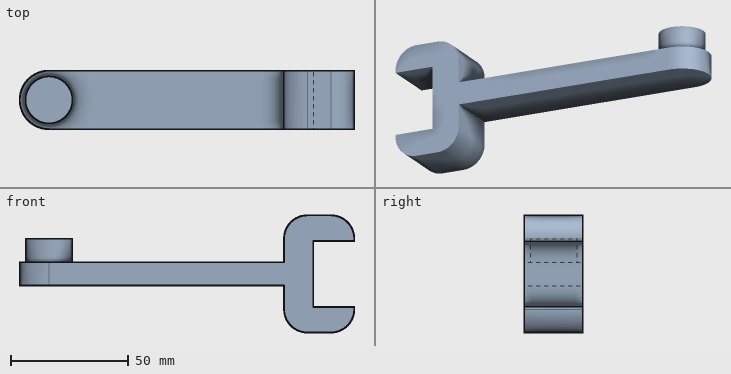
import cadquery as cq

width = 25.0
arm_thickness = 10.0
arm_length = 100.0
pin_diameter = 20.0
pin_height = 10.0
head_length = 30.0
head_height = 50.0
corner_radius = 10.0
slot_height = 28.0
slot_depth = 17.5

end_radius = width / 2
head_front = arm_length + head_length


def make_arm():
    """Flat arm with a full-round end concentric with the pin."""
    bar = cq.Workplane("XY").box(arm_length, width, arm_thickness, centered=(False, True, True))
    round_end = cq.Workplane("XY").circle(end_radius).extrude(arm_thickness / 2, both=True)
    return bar.union(round_end)


def make_pin():
    """Round pin standing on top of the arm."""
    return (
        cq.Workplane("XY")
        .workplane(offset=arm_thickness / 2)
        .circle(pin_diameter / 2)
        .extrude(pin_height)
    )


def make_head():
    """Rounded block with a slot open towards +X, forming two jaws."""
    block = (
        cq.Workplane("XY")
        .box(head_length, width, head_height, centered=(False, True, True))
        .edges("|Y")
        .fillet(corner_radius)
        .translate((arm_length, 0, 0))
    )
    slot = (
        cq.Workplane("XY")
        .box(slot_depth, width, slot_height, centered=(False, True, True))
        .translate((head_front - slot_depth, 0, 0))
    )
    return block.cut(slot)


result = make_arm().union(make_head()).union(make_pin())